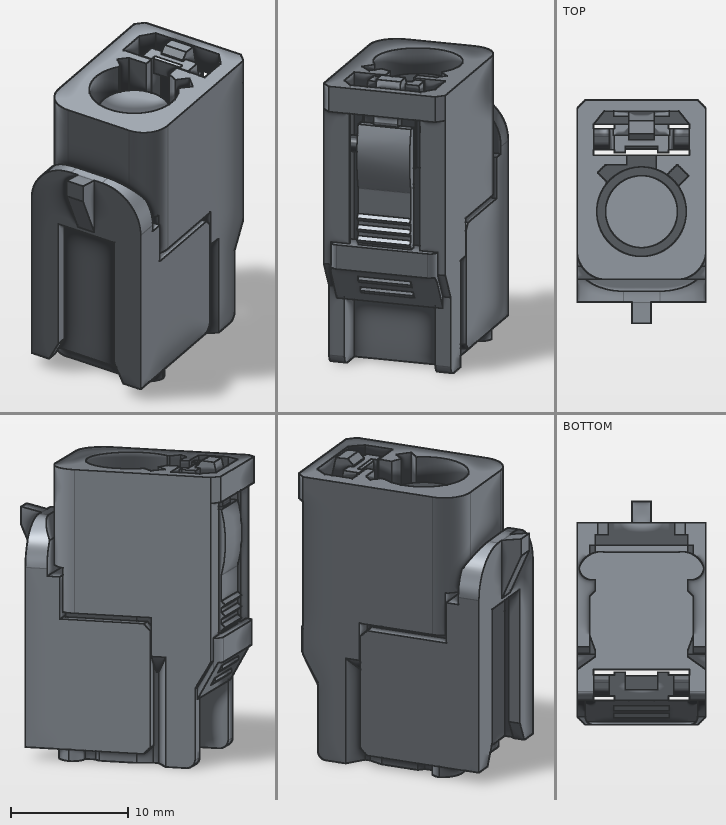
import cadquery as cq
import math

half_width = 5.5
top_z = 25.4
front_y = -5.79
back_y = 9.55
front_corner_radius = 2.45
back_chamfer = 0.7
side_back_y = back_y - back_chamfer
lower_back_y = 7.45
back_bottom_radius = 0.78

seat_top_z = 12.92
seat_back_y = 3.53
front_notch_top_z = 16.76
front_notch_y = -4.45

upper_lip_bottom_z = 23.15
bridge_top_z = 11.31
bridge_bottom_z = 9.15
bridge_foot_y = 9.26
bridge_half_width = half_width - back_chamfer
slope_end_z = 5.92
slope_ridge_zs = (7.05, 8.17)
slope_ridge_height = 0.23
side_slope_top_z = 9.32
side_slope_end_z = 6.95

side_wall_front_y = 4.83
core_back_y = 3.7
core_half_width = 3.95
core_rib_half_width = 4.4
core_rib_back_y = 1.92
core_rib_front_y = -1.45
core_front_y = -1.92
core_shoulder_y = 3.22
core_plate_top_z = 15.18
groove_top_z = 9.55
groove_ceiling_drop = 1.65

foot_half_width = 5.32
foot_back_y = -2.85
foot_front_y = -5.22
foot_back_radius = 1.05
foot_flat_half_width = 3.15

bore_diameter = 7.65
bore_floor_z = seat_top_z
key_floor_z = 15.57
pin_diameter = 6.15
pin_top_z = 23.35
key_reach = 5.0
key_width = 1.38
left_key_width = 0.99
center_key_half_width = 1.27
left_key_fill_y = 4.02
left_key_fill_x = -3.0

pocket_half_width = 4.1
pocket_front_y = side_wall_front_y
pocket_back_y = 8.6
pocket_back_half_width = 3.2

hook_half_width = 1.1
post_inner_x = 1.38
post_half_width = 2.3
post_front_y = 5.03
hook_back_y = 7.78
hook_back_z = 25.87
hook_front_y = 6.67
hook_top_z = 25.95
hook_toe_y = 6.12
arm_bend_z = 22.32
bar_top_front_y = 5.58
bar_front_y = 5.35
bar_back_y = 6.55
ledge_top_z = 23.87
bar_bottom_z = 23.72
bar_bevel_z = 25.17
latch_top_z = 25.3
latch_bottom_z = 18.16
cheek_half_width = 2.78
cheek_flare_z = 19.72
axle_z = 19.45
axle_front_y = 5.27
axle_back_y = 7.08
axle_flat = 0.57
pad_half_width = 2.4
pad_front_y = 8.15
bulge_bottom_z = 16.37
bulge_top_z = 22.05
bulge_y = 9.2
pad_ridge_zs = (11.8, 12.8, 13.78)
pad_ridge_height = 0.35
ridge_half_base = 0.3

slider_bottom_z = 1.05
slider_back_y = 3.43
slider_side_top_z = 12.35
slider_step_y = -4.65
slider_step_top_z = 16.0
slider_front_y = -7.73
slider_top_z = 20.63
slider_arch_radius = 3.95
slider_corner_chamfer = 0.57
slab_bevel_bottom_z = 19.0
slab_bevel_y = -6.8
slot_half_width = 2.83
slot_top_z = 15.0
slot_flare_half_width = 3.74
slot_flare_z = 2.83
slot_lip_y = -6.7

tab_half_width = 0.83
tab_tip_y = -9.55
tab_tip_top_z = 21.02
tab_tip_bottom_z = 19.45
tab_bottom_z = 15.35


def box(x0, x1, y0, y1, z0, z1):
    return cq.Workplane("XY").box(x1 - x0, y1 - y0, z1 - z0, centered=False).translate((x0, y0, z0))


def side_profile(points, half):
    """Closed (y, z) outline extruded symmetrically along X."""
    return cq.Workplane("YZ").polyline(points).close().extrude(half, both=True)


def plan_prism(points, z0, z1):
    """Closed (x, y) outline extruded from z0 to z1."""
    return cq.Workplane("XY").workplane(offset=z0).polyline(points).close().extrude(z1 - z0)


def mirrored(points):
    """Complete an (x, y) outline given on the +X side by its mirror image."""
    return points + [(-x, y) for x, y in reversed(points)]


def make_upper_housing():
    shell = box(-half_width, half_width, front_y, back_y, seat_top_z, top_z)
    shell = shell.edges("|Z and <Y").fillet(front_corner_radius)
    shell = shell.edges("|Z and >Y").chamfer(back_chamfer)
    notch = box(-half_width, half_width, front_y, front_notch_y, seat_top_z, front_notch_top_z)
    open_band = box(-half_width, half_width, side_back_y, back_y, seat_top_z, upper_lip_bottom_z)
    return shell.cut(notch).cut(open_band)


def make_grip_ridge(y, z, height, run=0):
    """Triangular ridge on a back face through (y, z) whose y grows by run per unit of z."""
    rise = run * ridge_half_base
    return side_profile(
        [(y - rise, z - ridge_half_base), (y + height, z), (y + rise, z + ridge_half_base)],
        pad_half_width,
    )


def make_slope_ridges():
    """Grip ridges across the sloping foot of the bridge."""
    run = (bridge_foot_y - lower_back_y) / (bridge_bottom_z - slope_end_z)
    ridges = cq.Workplane("XY")
    for z in slope_ridge_zs:
        slope_y = lower_back_y + run * (z - slope_end_z)
        ridges = ridges.union(make_grip_ridge(slope_y, z, slope_ridge_height, run))
    return ridges


def make_lower_housing():
    sides = side_profile(
        [
            (seat_back_y, seat_top_z),
            (side_back_y, seat_top_z),
            (side_back_y, side_slope_top_z),
            (lower_back_y, side_slope_end_z),
            (lower_back_y, 0),
            (seat_back_y, 0),
        ],
        half_width,
    )
    sides = sides.faces("<Z").edges(">Y").fillet(back_bottom_radius)
    bridge = side_profile(
        [
            (side_wall_front_y, bridge_top_z),
            (back_y, bridge_top_z),
            (back_y, bridge_bottom_z),
            (bridge_foot_y, bridge_bottom_z),
            (lower_back_y, slope_end_z),
            (side_wall_front_y, slope_end_z),
        ],
        half_width,
    )
    rounded_plan = box(
        -bridge_half_width, bridge_half_width, side_wall_front_y, back_y, slope_end_z, bridge_top_z
    )
    rounded_plan = rounded_plan.edges("|Z and >Y").fillet(back_chamfer)
    return sides.union(bridge.intersect(rounded_plan)).union(make_slope_ridges())


def make_grooves():
    """Side grooves in front of the back walls, with ceilings that fall inward."""
    plan = plan_prism(
        [
            (half_width, side_wall_front_y),
            (core_half_width, core_back_y),
            (core_half_width, seat_back_y),
            (half_width, seat_back_y),
        ],
        0,
        groove_top_z,
    )
    ceiling = (
        cq.Workplane("XZ")
        .polyline(
            [
                (half_width, groove_top_z),
                (core_half_width, groove_top_z - groove_ceiling_drop),
                (core_half_width, groove_top_z),
            ]
        )
        .close()
        .extrude(-side_wall_front_y)
    )
    groove = plan.cut(ceiling)
    return groove.union(groove.mirror("YZ"))


def make_core():
    core = plan_prism(
        mirrored(
            [
                (core_half_width, core_back_y),
                (core_half_width, core_shoulder_y),
                (core_rib_half_width, core_rib_back_y),
                (core_rib_half_width, core_rib_front_y),
                (core_half_width, core_front_y),
            ]
        ),
        0,
        seat_top_z,
    )
    neck = box(
        -core_half_width, core_half_width, foot_back_y - foot_back_radius, core_front_y, 0, seat_top_z
    )
    rib_top = box(
        -core_rib_half_width, core_rib_half_width, front_notch_y, core_rib_back_y,
        slider_bottom_z, seat_top_z
    )
    plate = box(
        -core_half_width, core_half_width, front_y, core_front_y, slider_bottom_z, core_plate_top_z
    )
    return core.union(neck).union(rib_top).union(plate)


def make_foot():
    side_y = foot_back_y - foot_back_radius
    inner_x = foot_half_width - foot_back_radius
    diagonal = math.sqrt(0.5)
    corner_x = foot_half_width - foot_flat_half_width
    corner_y = side_y - foot_front_y
    round_back = foot_back_radius * diagonal
    front_mid = (foot_flat_half_width + corner_x * diagonal, side_y - corner_y * diagonal)
    back_mid = (inner_x + round_back, side_y + round_back)
    return (
        cq.Workplane("XY")
        .moveTo(-foot_flat_half_width, foot_front_y)
        .lineTo(foot_flat_half_width, foot_front_y)
        .threePointArc(front_mid, (foot_half_width, side_y))
        .threePointArc(back_mid, (inner_x, foot_back_y))
        .lineTo(-inner_x, foot_back_y)
        .threePointArc((-back_mid[0], back_mid[1]), (-foot_half_width, side_y))
        .threePointArc((-front_mid[0], front_mid[1]), (-foot_flat_half_width, foot_front_y))
        .close()
        .extrude(slider_bottom_z)
    )


def make_bore():
    """Annular mating cavity around the centre pin, with its three keyways."""
    depth = top_z - bore_floor_z
    floor = cq.Workplane("XY").workplane(offset=bore_floor_z)
    cavity = floor.circle(bore_diameter / 2).extrude(depth)
    for angle, width in ((45, key_width), (135, left_key_width)):
        key = box(0, key_reach, -key_width / 2, width - key_width / 2, key_floor_z, top_z)
        cavity = cavity.union(key.rotate((0, 0, 0), (0, 0, 1), angle))
    cavity = cavity.union(
        box(-center_key_half_width, center_key_half_width, 0, pocket_front_y, key_floor_z, top_z)
    )
    cavity = cavity.union(box(left_key_fill_x, 0, 0, left_key_fill_y, key_floor_z, top_z))
    pin = floor.circle(pin_diameter / 2).extrude(pin_top_z - bore_floor_z)
    return cavity.cut(pin)


def make_pocket():
    shaft = box(-pocket_half_width, pocket_half_width, pocket_front_y, lower_back_y, 0, top_z)
    back = plan_prism(
        mirrored([(pocket_half_width, lower_back_y), (pocket_back_half_width, pocket_back_y)]),
        bridge_top_z,
        top_z,
    )
    window = box(
        -pocket_back_half_width,
        pocket_back_half_width,
        pocket_back_y,
        back_y,
        bridge_top_z,
        upper_lip_bottom_z,
    )
    return shaft.union(back).union(window)


def make_latch():
    latch = side_profile(
        [
            (hook_back_y, hook_back_z),
            (hook_front_y, hook_top_z),
            (hook_toe_y, top_z),
            (hook_toe_y, bar_bottom_z),
            (bar_back_y, bar_bottom_z),
            (bar_back_y, latch_bottom_z),
            (pocket_back_y, latch_bottom_z),
            (pocket_back_y, arm_bend_z),
        ],
        hook_half_width,
    )

    bar = side_profile(
        [
            (bar_top_front_y, latch_top_z),
            (bar_back_y, latch_top_z),
            (bar_back_y, ledge_top_z),
            (lower_back_y, ledge_top_z),
            (lower_back_y, latch_bottom_z),
            (bar_back_y, latch_bottom_z),
            (bar_back_y, bar_bottom_z),
            (bar_front_y, bar_bottom_z),
            (bar_front_y, bar_bevel_z),
        ],
        post_inner_x,
    )

    cheek = (
        cq.Workplane("XZ", origin=(0, axle_front_y, 0))
        .polyline(
            [
                (post_inner_x, latch_bottom_z),
                (cheek_half_width, latch_bottom_z),
                (cheek_half_width, cheek_flare_z),
                (post_half_width, latch_top_z),
                (post_inner_x, latch_top_z),
            ]
        )
        .close()
        .extrude(axle_front_y - axle_back_y)
    )
    cheek = cheek.cut(box(0, cheek_half_width, bar_back_y, axle_back_y, ledge_top_z, latch_top_z))
    post = box(post_inner_x, post_half_width, post_front_y, bar_back_y, latch_bottom_z, latch_top_z)
    ledge = box(post_inner_x, post_half_width, bar_back_y, lower_back_y, latch_bottom_z, ledge_top_z)
    side = cheek.union(post).union(ledge)
    latch = latch.union(bar).union(side).union(side.mirror("YZ"))

    axle_depth = axle_back_y - axle_front_y
    axle = (
        cq.Workplane("YZ", origin=(post_inner_x, (axle_front_y + axle_back_y) / 2, axle_z))
        .slot2D(axle_depth, axle_depth - axle_flat)
        .extrude(pocket_half_width - post_inner_x)
    )
    latch = latch.union(axle).union(axle.mirror("YZ"))

    pad = (
        cq.Workplane("YZ")
        .moveTo(pad_front_y, bridge_top_z)
        .lineTo(side_back_y, bridge_top_z)
        .lineTo(side_back_y, bulge_bottom_z)
        .threePointArc((bulge_y, (bulge_bottom_z + bulge_top_z) / 2), (side_back_y, bulge_top_z))
        .lineTo(pad_front_y, bulge_top_z)
        .close()
        .extrude(pad_half_width, both=True)
    )
    for z in pad_ridge_zs:
        pad = pad.union(make_grip_ridge(side_back_y, z, pad_ridge_height))
    return latch.union(pad)


def make_slider():
    side = box(
        core_rib_half_width, half_width, front_y, slider_back_y, slider_bottom_z, slider_side_top_z
    )
    side = side.edges("|X and >Y").chamfer(slider_corner_chamfer)
    slider = side.union(side.mirror("YZ"))
    slider = slider.union(
        box(-half_width, half_width, front_y, slider_step_y, slider_side_top_z, slider_step_top_z)
    )

    slab = box(-half_width, half_width, slider_front_y, front_y, slider_bottom_z, slider_top_z)
    slab = slab.edges("|Y and >Z").fillet(slider_arch_radius)
    bevel = side_profile(
        [(front_y, slab_bevel_bottom_z), (slab_bevel_y, slider_top_z), (front_y, slider_top_z)],
        half_width,
    )
    slot = (
        cq.Workplane("XZ", origin=(0, slider_front_y, 0))
        .polyline(
            mirrored(
                [
                    (slot_flare_half_width, slider_bottom_z),
                    (slot_half_width, slot_flare_z),
                    (slot_half_width, slot_top_z),
                ]
            )
        )
        .close()
        .extrude(slider_front_y - slot_lip_y)
    )
    relief = box(
        -core_half_width, core_half_width, slot_lip_y, front_y, slider_bottom_z, slot_top_z
    )
    slider = slider.union(slab.cut(bevel).cut(slot).cut(relief))

    tab = side_profile(
        [
            (slider_front_y, slider_top_z),
            (tab_tip_y, tab_tip_top_z),
            (tab_tip_y, tab_tip_bottom_z),
            (slider_front_y, tab_bottom_z),
        ],
        tab_half_width,
    )
    return slider.union(tab)


housing = make_upper_housing().union(make_lower_housing()).cut(make_grooves())
housing = housing.union(make_core()).union(make_foot())
housing = housing.cut(make_bore()).cut(make_pocket())

result = housing.union(make_slider()).union(make_latch())